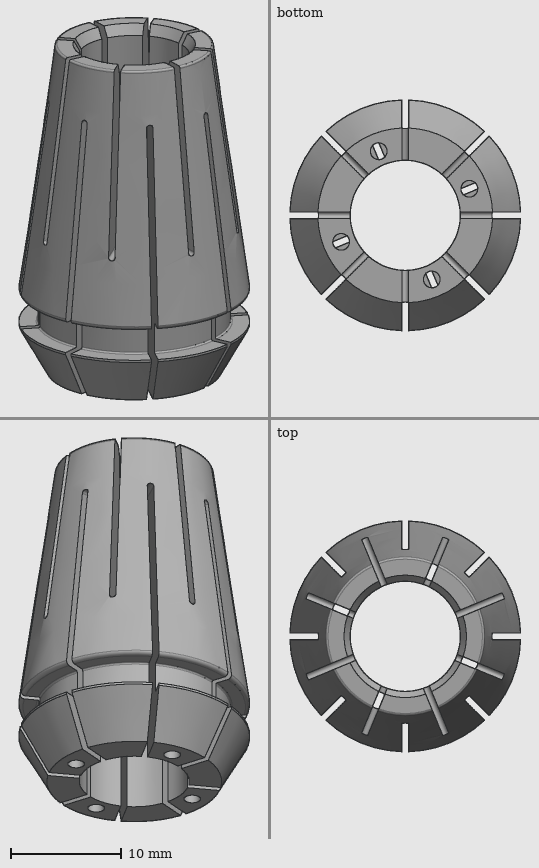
import cadquery as cq
import math

height = 31.5
bore_diameter = 10.0
flange_radius = 10.5
taper_angle = 8.0
taper_slope = math.tan(math.radians(taper_angle))

nose_radius = 7.95
nose_top = 4.55
flange_top = 4.75
neck_radius = 8.75
groove_top = 7.62
body_edge_fillet = 0.38
neck_fillet = 0.15

taper_start = groove_top + body_edge_fillet
tip_fillet = 0.205
tip_edge = height - tip_fillet
tip_radius = flange_radius - (tip_edge - taper_start) * taper_slope
bore_chamfer_width = 0.57
bore_chamfer_angle = 30.0
bore_chamfer_depth = bore_chamfer_width / math.tan(math.radians(bore_chamfer_angle))

slot_count = 8
slot_pitch = 360 / slot_count
slot_width = 0.6
slot_cutter_length = 1.2 * height
slot_cutter_reach = 2 * flange_radius
lower_slot_top = 26.5
upper_slot_floor = 14.0

hole_count = 4
hole_diameter = 1.5
hole_circle_radius = 6.3
hole_depth = upper_slot_floor + slot_width


def round_corner(profile, start, end, center):
    """Extend the profile from start to end with a quarter arc about the given center."""
    radius = math.dist(start, center)
    bisector = (start[0] + end[0] - 2 * center[0], start[1] + end[1] - 2 * center[1])
    stretch = radius / math.hypot(*bisector)
    middle = (center[0] + bisector[0] * stretch, center[1] + bisector[1] * stretch)
    return profile.lineTo(*start).threePointArc(middle, end)


def turned_body():
    """Revolved collet with its taper, groove, nose and chamfered bore."""
    bore_radius = bore_diameter / 2
    neck_wall = neck_radius + neck_fillet
    profile = (
        cq.Workplane("XZ")
        .moveTo(bore_radius, 0)
        .lineTo(nose_radius, 0)
        .lineTo(flange_radius, nose_top)
        .lineTo(flange_radius, flange_top)
    )
    profile = round_corner(
        profile,
        (neck_wall, flange_top),
        (neck_radius, flange_top + neck_fillet),
        (neck_wall, flange_top + neck_fillet),
    )
    profile = round_corner(
        profile,
        (neck_radius, groove_top - neck_fillet),
        (neck_wall, groove_top),
        (neck_wall, groove_top - neck_fillet),
    )
    profile = round_corner(
        profile,
        (flange_radius - body_edge_fillet, groove_top),
        (flange_radius, taper_start),
        (flange_radius - body_edge_fillet, taper_start),
    )
    profile = round_corner(
        profile,
        (tip_radius, tip_edge),
        (tip_radius - tip_fillet, height),
        (tip_radius - tip_fillet, tip_edge),
    )
    profile = (
        profile.lineTo(bore_radius + bore_chamfer_width, height)
        .lineTo(bore_radius, height - bore_chamfer_depth)
        .close()
    )
    return profile.revolve(360, (0, 0, 0), (0, 1, 0))


def slot_cutter(round_end, direction):
    """Radial slot along +X with a full-round blind end, running up (1) or down (-1) from it."""
    half = slot_width / 2
    arc_end = round_end + direction * half
    open_end = round_end + direction * slot_cutter_length
    outline = (
        cq.Workplane("YZ")
        .moveTo(-half, open_end)
        .lineTo(-half, arc_end)
        .threePointArc((0, round_end), (half, arc_end))
        .lineTo(half, open_end)
        .close()
    )
    return outline.extrude(slot_cutter_reach)


def lower_slot():
    """Slot open at the nose, its blind end square to the tapered surface."""
    surface_radius = flange_radius - (lower_slot_top - taper_start) * taper_slope
    pivot = (surface_radius, 0, lower_slot_top)
    pivot_axis_end = (surface_radius, 1, lower_slot_top)
    return slot_cutter(lower_slot_top, -1).rotate(pivot, pivot_axis_end, taper_angle)


def cut_slots(body):
    """Alternate slots opening at the nose and at the small end."""
    nose_slot = lower_slot()
    tip_slot = slot_cutter(upper_slot_floor, 1)
    for i in range(slot_count):
        body = body.cut(nose_slot.rotate((0, 0, 0), (0, 0, 1), i * slot_pitch))
        body = body.cut(tip_slot.rotate((0, 0, 0), (0, 0, 1), (i + 0.5) * slot_pitch))
    return body


def axial_holes():
    """Blind holes rising from the nose face into every second upper slot."""
    first_angle = 1.5 * slot_pitch
    return (
        cq.Workplane("XY")
        .polarArray(hole_circle_radius, first_angle, 360, hole_count)
        .circle(hole_diameter / 2)
        .extrude(hole_depth)
    )


result = cut_slots(turned_body()).cut(axial_holes())